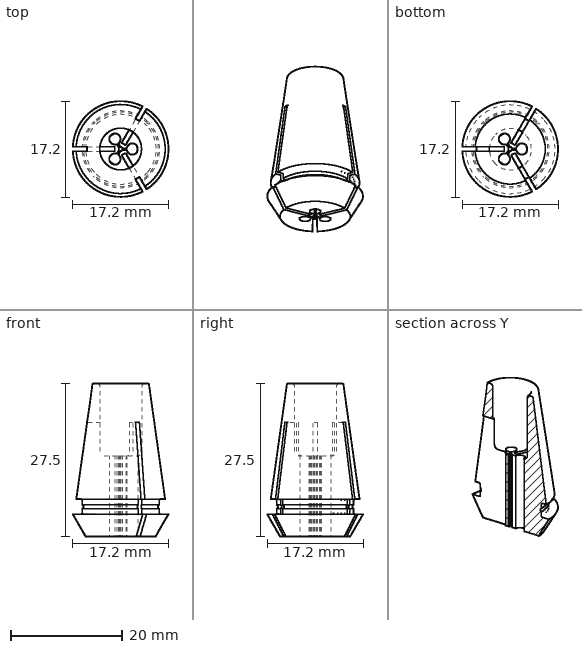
import cadquery as cq
import math

length = 27.5
flange_height = 4.02
cone_base = 6.7
floor_height = 14.52
slot_top = 20.52

flange_radius = 17.25 / 2
flange_angle = 30.0
neck_radius = 6.93
neck_fillet = 0.2
cone_radius = 8.0
cone_angle = 8.0
top_fillet = 0.28

groove_width = 0.65
groove_depth = 0.25

bore_radius = 7.5 / 2
bore_floor_fillet = 0.8
mouth_fillet = 0.55

jaw_count = 3
jaw_pitch = 360.0 / jaw_count
slot_width = 0.8
slot_inner_radius = 1.07
hole_diameter = 1.98
hole_circle_radius = 2.1
slit_width = 0.28
center_hole_diameter = 0.7

bottom_radius = flange_radius - flange_height * math.tan(math.radians(flange_angle))
top_radius = cone_radius - (length - cone_base) * math.tan(math.radians(cone_angle))


def outer_body():
    """Flange, grooved neck and cone, revolved about Z."""
    groove_middle = (flange_height + cone_base) / 2
    groove_bottom = groove_middle - groove_width / 2
    groove_top = groove_middle + groove_width / 2
    arc_offset = neck_fillet * (1 - math.sqrt(0.5))
    profile = (
        cq.Workplane("XZ")
        .lineTo(bottom_radius, 0)
        .lineTo(flange_radius, flange_height)
        .lineTo(neck_radius + neck_fillet, flange_height)
        .threePointArc(
            (neck_radius + arc_offset, flange_height + arc_offset),
            (neck_radius, flange_height + neck_fillet),
        )
        .lineTo(neck_radius, groove_bottom)
        .threePointArc((neck_radius - groove_depth, groove_middle), (neck_radius, groove_top))
        .lineTo(neck_radius, cone_base - neck_fillet)
        .threePointArc(
            (neck_radius + arc_offset, cone_base - arc_offset),
            (neck_radius + neck_fillet, cone_base),
        )
        .lineTo(cone_radius, cone_base)
        .lineTo(top_radius, length)
        .lineTo(0, length)
        .close()
    )
    body = profile.revolve(360, (0, 0, 0), (0, 1, 0))
    return body.faces(">Z").edges().fillet(top_fillet)


def bore():
    """Blind bore with a rounded floor corner."""
    return (
        cq.Workplane("XY", origin=(0, 0, floor_height))
        .circle(bore_radius)
        .extrude(length - floor_height)
        .faces("<Z")
        .edges()
        .fillet(bore_floor_fillet)
    )


def radial_slot(angle):
    """Wide slot between a jaw's inner web and the outside."""
    slot = cq.Workplane("XY").box(
        flange_radius, slot_width, slot_top, centered=(False, True, False)
    )
    return slot.translate((slot_inner_radius, 0, 0)).rotate((0, 0, 0), (0, 0, 1), angle)


def jaw_split(angle):
    """Round hole joined to the axis by a narrow slit, below the bore floor."""
    hole = cq.Workplane("XY").center(hole_circle_radius, 0).circle(hole_diameter / 2)
    slit = cq.Workplane("XY").box(
        hole_circle_radius, slit_width, floor_height, centered=(False, True, False)
    )
    return hole.extrude(floor_height).union(slit).rotate((0, 0, 0), (0, 0, 1), angle)


result = outer_body().cut(bore())
mouth_edge = cq.selectors.RadiusNthSelector(0)
result = result.faces(">Z").edges(mouth_edge).fillet(mouth_fillet)
result = result.cut(cq.Workplane("XY").circle(center_hole_diameter / 2).extrude(floor_height))

for jaw in range(jaw_count):
    split_angle = jaw * jaw_pitch
    result = result.cut(jaw_split(split_angle))
    result = result.cut(radial_slot(split_angle + jaw_pitch / 2))